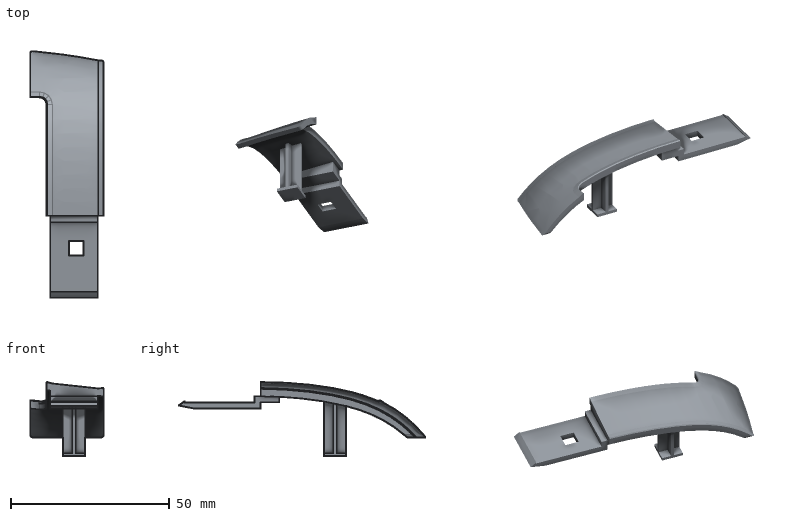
import cadquery as cq
import math

SHELL_WIDTH = 23.4
FRONT_Y = 26.0
BACK_Y = 78.2
FLOOR_Z = 5.9
CREST_Z = 23.78
SHELL_THICKNESS = 2.35
UNDERSIDE_SHIFT = 0.25
QUADRATIC_SHARE = 0.525
CURVE_POWER = 5.5
CROSS_SLOPE = 0.107
CROSS_BOW = 0.0022
PROFILE_POINTS = 13
CORNER_RADIUS = 1.0

NOTCH_X = 5.2
NOTCH_Y = 63.45
NOTCH_RADIUS = 2.2
NOTCH_ARC_X = NOTCH_X - NOTCH_RADIUS
NOTCH_ARC_Y = NOTCH_Y - NOTCH_RADIUS
NOTCH_ARC_STEPS = 4

LIP_WIDTH = 1.8
LIP_CREST_INSET = 0.25
LIP_HEIGHT = 0.3
LIP_ROOT = 0.6

TONGUE_X = 6.4
TONGUE_WIDTH = 15.1
TONGUE_BOTTOM_Z = 15.0
TONGUE_TOP_Z = 17.0
STEP_TOP_Z = 19.0
STEP_FRONT_Y = 24.0
BLOCK_BACK_Y = 31.9
BLOCK_TOP_Z = 21.1
TIP_Z = 16.0
TIP_BOTTOM_Y = 5.0
TIP_TOP_Y = 1.9
TIP_RIDGE_Z = 17.4
HOLE_SIZE = 4.5
HOLE_CENTER_X = 14.6
HOLE_CENTER_Y = 15.75

POST_X = 13.9
POST_Y = 49.5
POST_SIZE = 7.0
POST_RIB = 1.0
POST_BASE_HEIGHT = 1.0


def surface_z(x, y):
    """Height of the shell's upper surface."""
    along = max(0.0, (y + CROSS_BOW * x ** 2 - FRONT_Y) / (BACK_Y - FRONT_Y))
    fall = QUADRATIC_SHARE * along ** 2 + (1 - QUADRATIC_SHARE) * along ** CURVE_POWER
    return CREST_Z - CROSS_SLOPE * x - (CREST_Z - FLOOR_Z) * fall


def box_between(x0, x1, y0, y1, z0, z1):
    return cq.Workplane("XY").box(x1 - x0, y1 - y0, z1 - z0, centered=False).translate((x0, y0, z0))


def profile_wire(x, upper_offset, lower_offset, y_end=BACK_Y, lower_shift=0):
    """Lengthwise section at x between two vertical offsets of the upper surface.

    lower_shift also moves the lower curve forward, toward -Y.
    """
    step = (y_end - FRONT_Y) / (PROFILE_POINTS - 1)
    stations = [FRONT_Y + i * step for i in range(PROFILE_POINTS)]
    upper = [cq.Vector(x, y, surface_z(x, y) + upper_offset) for y in stations]
    lower = [cq.Vector(x, y - lower_shift, surface_z(x, y) + lower_offset) for y in stations]
    return cq.Wire.assembleEdges([
        cq.Edge.makeSpline(upper),
        cq.Edge.makeLine(upper[-1], lower[-1]),
        cq.Edge.makeSpline(lower[::-1]),
        cq.Edge.makeLine(lower[0], upper[0]),
    ])


def swept_layer(upper_offset, lower_offset):
    """Layer over the full width that follows the upper surface."""
    stations = [0, SHELL_WIDTH / 2, SHELL_WIDTH]
    wires = [profile_wire(x, upper_offset, lower_offset, lower_shift=UNDERSIDE_SHIFT) for x in stations]
    return cq.Workplane(cq.Solid.makeLoft(wires, False))


def outline():
    """Upright prism with the plan outline of the shell."""
    return (
        cq.Workplane("XY")
        .moveTo(0, NOTCH_Y)
        .lineTo(NOTCH_ARC_X, NOTCH_Y)
        .radiusArc((NOTCH_X, NOTCH_ARC_Y), NOTCH_RADIUS)
        .lineTo(NOTCH_X, FRONT_Y)
        .lineTo(SHELL_WIDTH, FRONT_Y)
        .lineTo(SHELL_WIDTH, BACK_Y)
        .lineTo(0, BACK_Y)
        .close()
        .extrude(CREST_Z + LIP_HEIGHT)
    )


def rounded_end():
    """Block above the floor plane with rounded lower corners, running along Y."""
    block = box_between(0, SHELL_WIDTH, FRONT_Y, BACK_Y, FLOOR_Z, CREST_Z + LIP_HEIGHT)
    return block.edges("|Y and <Z").fillet(CORNER_RADIUS)


def side_lip(edge_x, inward, y_end):
    """Lip along a lengthwise edge; inward is +1 or -1 along X."""
    stations = [(0, 0), (LIP_CREST_INSET, LIP_HEIGHT), (LIP_WIDTH, 0)]
    wires = [
        profile_wire(edge_x + inward * inset, height, -LIP_ROOT, y_end=y_end)
        for inset, height in stations
    ]
    return cq.Workplane(cq.Solid.makeLoft(wires, True))


def lip_section(x, y, inward_x, inward_y):
    """Cross-section of the lip at an edge point, along a horizontal inward direction."""
    def point(inset, height):
        px = x + inset * inward_x
        py = y + inset * inward_y
        return cq.Vector(px, py, surface_z(px, py) + height)

    corners = [
        point(0, -LIP_ROOT),
        point(0, 0),
        point(LIP_CREST_INSET, LIP_HEIGHT),
        point(LIP_WIDTH, 0),
        point(LIP_WIDTH, -LIP_ROOT),
    ]
    return cq.Wire.makePolygon(corners, close=True)


def notch_lip():
    """Lip along the back of the notch and round its corner."""
    sections = [lip_section(0, NOTCH_Y, 0, 1)]
    for i in range(NOTCH_ARC_STEPS + 1):
        angle = math.pi / 2 * (1 - i / NOTCH_ARC_STEPS)
        dx = math.cos(angle)
        dy = math.sin(angle)
        x = NOTCH_ARC_X + NOTCH_RADIUS * dx
        y = NOTCH_ARC_Y + NOTCH_RADIUS * dy
        sections.append(lip_section(x, y, dx, dy))
    return cq.Workplane(cq.Solid.makeLoft(sections, True))


def shell():
    body = swept_layer(0, -SHELL_THICKNESS).intersect(outline())
    body = body.union(side_lip(NOTCH_X, 1, NOTCH_ARC_Y))
    body = body.union(side_lip(SHELL_WIDTH, -1, BACK_Y))
    body = body.union(notch_lip())
    return body.intersect(rounded_end())


def tongue():
    body = (
        cq.Workplane("YZ")
        .polyline([
            (BLOCK_BACK_Y, TONGUE_TOP_Z),
            (FRONT_Y, TONGUE_TOP_Z),
            (FRONT_Y, TONGUE_BOTTOM_Z),
            (TIP_BOTTOM_Y, TONGUE_BOTTOM_Z),
            (0, TIP_Z),
            (TIP_TOP_Y, TIP_RIDGE_Z),
            (TIP_TOP_Y, TONGUE_TOP_Z),
            (STEP_FRONT_Y, TONGUE_TOP_Z),
            (STEP_FRONT_Y, STEP_TOP_Z),
            (FRONT_Y, STEP_TOP_Z),
            (FRONT_Y, BLOCK_TOP_Z),
            (BLOCK_BACK_Y, BLOCK_TOP_Z),
        ])
        .close()
        .extrude(TONGUE_WIDTH)
        .translate((TONGUE_X, 0, 0))
    )
    hole = (
        cq.Workplane("XY")
        .center(HOLE_CENTER_X, HOLE_CENTER_Y)
        .rect(HOLE_SIZE, HOLE_SIZE)
        .extrude(STEP_TOP_Z)
    )
    return body.cut(hole)


def post():
    plan = cq.Workplane("XY").center(POST_X, POST_Y)
    ribs = plan.rect(POST_SIZE, POST_RIB).extrude(CREST_Z)
    ribs = ribs.union(plan.rect(POST_RIB, POST_SIZE).extrude(CREST_Z))
    ribs = ribs.intersect(swept_layer(-SHELL_THICKNESS / 2, -CREST_Z))
    return ribs.union(plan.rect(POST_SIZE, POST_SIZE).extrude(POST_BASE_HEIGHT))


result = shell().union(tongue()).union(post())